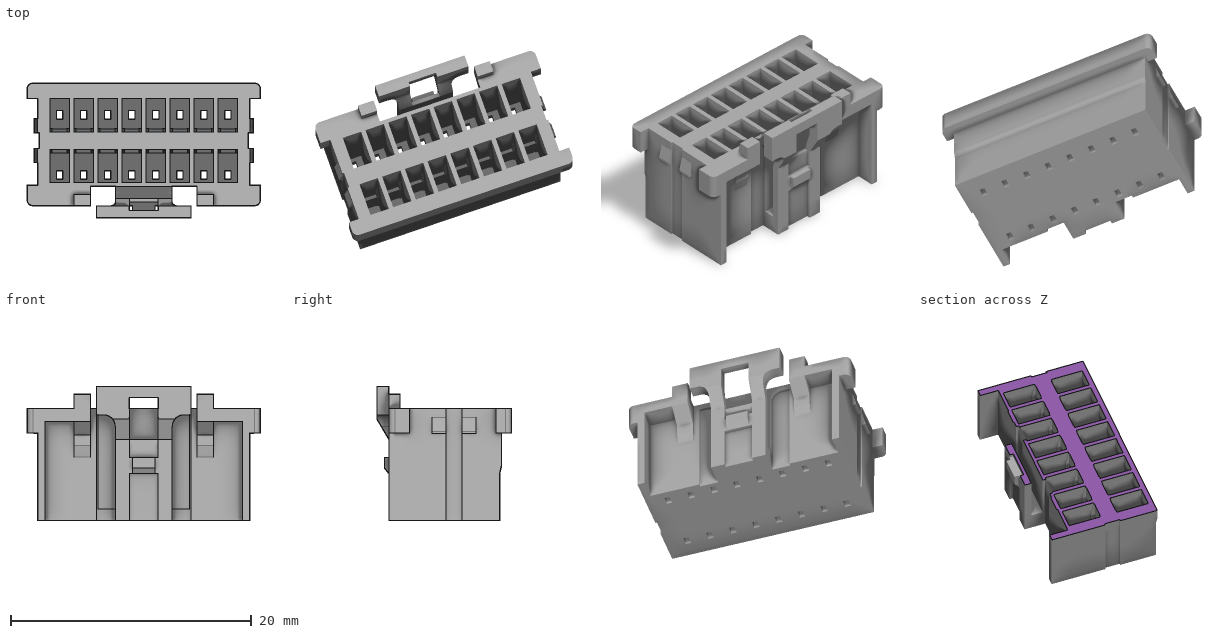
import cadquery as cq


flange_length = 19.4
flange_depth = 10.2
flange_corner_radius = 0.5
flange_bottom = 7.25
body_half = 8.83
body_top = 9.33
body_back_upper = 9.37
body_back_lower = 9.23
back_step_top = 4.52
back_step_bottom = 3.95
front_ear_depth = 1.73
back_ear_depth = 1.3

groove_front = 4.77
groove_back = 6.07
groove_depth = 0.14
bump_length = 1.18
bump_height = 0.3
bump_top = 8.55
bump_crest = 7.41
bump_bottom = 7.24

recess_half = 8.2
recess_top = 8.23
recess_depth = 1.61
latch_gap_half = 4.42
relief_depth = 1.85

tab_width = 1.38
tab_depth = 0.93
tab_top = 10.51
hook_height = 0.23
gusset_bottom = 7.12
hook_crest_bottom = 6.23
hook_bottom = 5.3

cavity_count = 8
cavity_pitch = 2.0
cavity_width = 1.61
cavity_length = 2.77
front_row_start = 1.92
back_row_end = 8.9
cavity_floor = 0.97
contact_hole_width = 0.5
contact_hole_length = 0.7
front_hole_offset = 0.3
back_hole_offset = 0.99
lance_width = 1.25
front_lance_length = 0.31
back_lance_length = 0.25
lance_top = 3.88
ramp_length = 0.31
ramp_top = 5.82

latch_top = 11.15
latch_overhang = 0.99
arm_half = 2.37
arm_thickness = 0.62
arm_root_height = 1.53
arm_taper_bottom = 6.75
arm_taper_top = 8.55
head_half = 3.94
head_front_bottom = 8.42
head_bottom = 8.79
head_fillet = 0.99
window_half = 1.2
window_top = 10.22
channel_depth = 0.31
slot_depth = 0.37
catch_half = 0.95
catch_top = 5.25
catch_crest_bottom = 4.36
catch_bottom = 3.9


def box(x_min, x_max, y_min, y_max, z_min, z_max):
    """Axis-aligned box between the given limits."""
    size = (x_max - x_min, y_max - y_min, z_max - z_min)
    return cq.Workplane("XY").box(*size, centered=False).translate((x_min, y_min, z_min))


def centered_box(half_width, y_min, y_max, z_min, z_max):
    """Box symmetric about the mirror plane."""
    return box(-half_width, half_width, y_min, y_max, z_min, z_max)


def side_profile(points, x_min, x_max):
    """Prism with a (Y, Z) outline, running along X."""
    return cq.Workplane("YZ").polyline(points).close().extrude(x_max - x_min).translate((x_min, 0, 0))


def both_sides(solid):
    """The solid together with its mirror image across X = 0."""
    return solid.union(solid.mirror("YZ"))


def make_latch_front(y_min, y_max):
    """Prism along Y with the latch outline: a narrow arm flaring through fillets into the head."""
    half = (
        cq.Workplane("XZ", origin=(0, y_max, 0))
        .moveTo(0, 0)
        .lineTo(arm_half, 0)
        .lineTo(arm_half, head_bottom - head_fillet)
        .radiusArc((arm_half + head_fillet, head_bottom), head_fillet)
        .lineTo(head_half, head_bottom)
        .lineTo(head_half, latch_top)
        .lineTo(0, latch_top)
        .close()
        .extrude(y_max - y_min)
    )
    return both_sides(half)


def make_body():
    block_outline = [
        (0, 0),
        (body_back_lower, 0),
        (body_back_lower, back_step_bottom),
        (body_back_upper, back_step_top),
        (body_back_upper, body_top),
        (0, body_top),
    ]
    body = side_profile(block_outline, -body_half, body_half)
    flange = centered_box(flange_length / 2, 0, flange_depth, flange_bottom, body_top)
    flange = flange.edges("|Z").fillet(flange_corner_radius)
    side_notch = box(
        body_half, flange_length, front_ear_depth, flange_depth - back_ear_depth, 0, body_top
    )
    body = body.union(flange.cut(both_sides(side_notch)))
    side_groove = box(body_half - groove_depth, body_half, groove_front, groove_back, 0, body_top)
    return body.cut(both_sides(side_groove))


def make_front_recess():
    """Space cleared in front of the cavities, deeper behind the gaps beside the latch arm."""
    under_flange = centered_box(recess_half, 0, recess_depth, 0, recess_top)
    latch_gap = centered_box(latch_gap_half, 0, recess_depth, 0, body_top)
    relief = centered_box(head_half, recess_depth, relief_depth, 0, head_bottom)
    relief = relief.cut(make_latch_front(recess_depth, relief_depth))
    return under_flange.union(latch_gap).union(relief)


def make_side_bumps():
    """Snap bumps on the side walls, one on each side of the side groove."""
    outline = [
        (body_half - groove_depth, bump_bottom),
        (body_half + bump_height, bump_bottom),
        (body_half + bump_height, bump_crest),
        (body_half, bump_top),
        (body_half - groove_depth, bump_top),
    ]
    bump = cq.Workplane("XZ").polyline(outline).close().extrude(-bump_length)
    front_bump = bump.translate((0, groove_front - bump_length, 0))
    back_bump = bump.translate((0, groove_back, 0))
    return both_sides(front_bump.union(back_bump))


def make_tabs():
    """Tabs standing on the flange, and the gusset and hook below each."""
    x_max = latch_gap_half + tab_width
    tab = box(latch_gap_half, x_max, 0, tab_depth, recess_top, tab_top)
    hook_face = recess_depth - hook_height
    hook_outline = [
        (0, recess_top),
        (hook_face, gusset_bottom),
        (hook_face, hook_crest_bottom),
        (recess_depth, hook_bottom),
        (recess_depth, recess_top),
    ]
    return both_sides(tab.union(side_profile(hook_outline, latch_gap_half, x_max)))


def make_cavity(lance_length, hole_offset):
    """Cavity with its outer end at Y = 0 and its inner end, with the lance, towards +Y."""
    half = cavity_width / 2
    cavity = centered_box(half, 0, cavity_length, cavity_floor, body_top)
    ramp_outline = [
        (cavity_length, cavity_floor),
        (cavity_length - ramp_length, cavity_floor),
        (cavity_length - ramp_length, lance_top),
        (cavity_length, ramp_top),
    ]
    lance_space = centered_box(lance_width / 2, 0, cavity_length, cavity_floor, body_top)
    ramps = side_profile(ramp_outline, -half, half).cut(lance_space)
    lance = centered_box(
        lance_width / 2, cavity_length - lance_length, cavity_length, cavity_floor, lance_top
    )
    contact_hole = centered_box(
        contact_hole_width / 2, hole_offset, hole_offset + contact_hole_length, 0, cavity_floor
    )
    return cavity.cut(ramps).cut(lance).union(contact_hole)


def make_cavities():
    """Two rows of cavities with their inner ends facing each other."""
    front_cavity = make_cavity(front_lance_length, front_hole_offset)
    front_cavity = front_cavity.translate((0, front_row_start, 0))
    back_cavity = make_cavity(back_lance_length, back_hole_offset)
    back_cavity = back_cavity.mirror("XZ").translate((0, back_row_end, 0))
    column = front_cavity.union(back_cavity)
    cavities = cq.Workplane("XY")
    for index in range(cavity_count):
        x = (index - (cavity_count - 1) / 2) * cavity_pitch
        cavities = cavities.add(column.translate((x, 0, 0)))
    return cavities.combine()


def make_latch():
    """Latch arm rooted at the bottom, carrying a wide head with a window."""
    arm_outline = [
        (0, 0),
        (relief_depth, 0),
        (relief_depth, arm_root_height),
        (arm_thickness, arm_root_height),
        (arm_thickness, arm_taper_bottom),
        (0, arm_taper_top),
        (0, latch_top),
        (-latch_overhang, latch_top),
        (-latch_overhang, head_front_bottom),
        (0, arm_taper_bottom),
    ]
    latch = side_profile(arm_outline, -head_half, head_half)
    latch = latch.intersect(make_latch_front(-latch_overhang, relief_depth))

    window = centered_box(
        window_half, -latch_overhang, arm_thickness, arm_taper_bottom, window_top
    )
    top_slot = centered_box(window_half, -slot_depth, 0, window_top, latch_top)
    upper_channel = centered_box(window_half, 0, channel_depth, catch_top, arm_taper_bottom)
    lower_channel = centered_box(window_half, 0, channel_depth, 0, catch_bottom)
    for opening in (window, top_slot, upper_channel, lower_channel):
        latch = latch.cut(opening)

    catch_outline = [
        (0, catch_top),
        (-slot_depth, catch_top),
        (-slot_depth, catch_crest_bottom),
        (0, catch_bottom),
    ]
    return latch.union(side_profile(catch_outline, -catch_half, catch_half))


body = make_body().cut(make_front_recess())
body = body.union(make_side_bumps()).union(make_tabs())
result = body.cut(make_cavities()).union(make_latch())